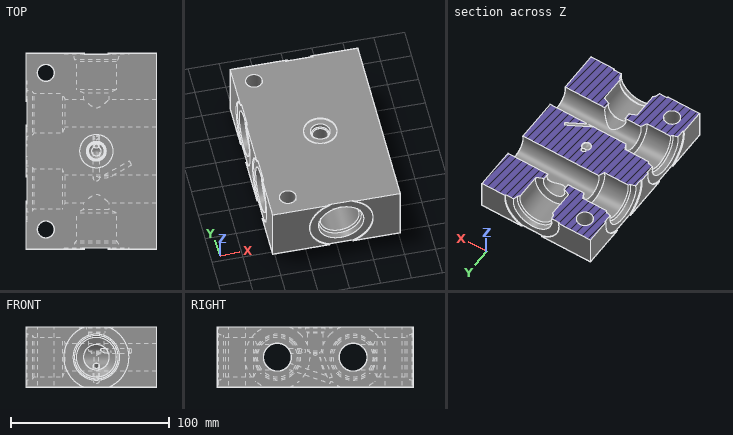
import cadquery as cq
import math

LENGTH_X = 82.6
LENGTH_Y = 123.8
HEIGHT = 38.1
LEFT_X = -LENGTH_X / 2
END_Y = LENGTH_Y / 2
TOP_Z = HEIGHT / 2

SPOTFACE_DEPTH = 0.7
SEAL_HALF_ANGLE = 15
LEAD_IN_HALF_ANGLE = 45
DRILL_HALF_ANGLE = 65

LARGE_PORT = {
    "spotface_diameter": 41.0,
    "seal_diameter": 29.2,
    "seal_depth": 3.3,
    "thread_diameter": 25.1,
    "thread_depth": 22.3,
}
SIDE_PORT_Y = 23.9
SIDE_BORE_DIAMETER = 17.5
END_BORE_DIAMETER = 16.1

SMALL_PORT = {
    "spotface_diameter": 21,
    "seal_diameter": 12.5,
    "seal_depth": 2.4,
    "thread_diameter": 9.9,
    "thread_depth": 14.4,
}
PORT_X = 3.2
TOP_BORE_DIAMETER = 6.0
TOP_BORE_DEPTH = 16.6

MOUNT_DIAMETER = 10.5
MOUNT_EDGE_X = 12.6
MOUNT_Y = 49.4

TOP_PASSAGE_DIAMETER = 3.0
TOP_PASSAGE_START = (PORT_X, 2.4, 5)
TOP_PASSAGE_END = (PORT_X, 9.3, -13.0)
LOW_PASSAGE_DIAMETER = 4.0
LOW_PASSAGE_START = (PORT_X, -21, -4.2)
LOW_PASSAGE_END = (PORT_X, 9.9, -14.7)
SIDE_PASSAGE_DIAMETER = 3.0
SIDE_PASSAGE_START = (3.7, -19.2, 4.0)
SIDE_PASSAGE_END = (24.8, -7.4, 4.0)


def cone_height(large_radius, small_radius, half_angle):
    return (large_radius - small_radius) / math.tan(math.radians(half_angle))


def port_cutter(port, bore_diameter, bore_depth, pointed=False):
    """Stepped port along -Z from the origin; a pointed bore ends in a drill cone."""
    spotface_radius = port["spotface_diameter"] / 2
    seal_radius = port["seal_diameter"] / 2
    thread_radius = port["thread_diameter"] / 2
    bore_radius = bore_diameter / 2

    seal_end = SPOTFACE_DEPTH + port["seal_depth"]
    seal_end_radius = seal_radius - port["seal_depth"] * math.tan(math.radians(SEAL_HALF_ANGLE))
    lead_in_end = seal_end + cone_height(seal_end_radius, thread_radius, LEAD_IN_HALF_ANGLE)
    thread_end = SPOTFACE_DEPTH + port["thread_depth"]
    cone_end = thread_end + cone_height(thread_radius, bore_radius, DRILL_HALF_ANGLE)
    tip = bore_depth + (cone_height(bore_radius, 0, DRILL_HALF_ANGLE) if pointed else 0)

    profile = (
        cq.Workplane("XZ")
        .moveTo(0, 0)
        .lineTo(spotface_radius, 0)
        .lineTo(spotface_radius, -SPOTFACE_DEPTH)
        .lineTo(seal_radius, -SPOTFACE_DEPTH)
        .lineTo(seal_end_radius, -seal_end)
        .lineTo(thread_radius, -lead_in_end)
        .lineTo(thread_radius, -thread_end)
        .lineTo(bore_radius, -cone_end)
        .lineTo(bore_radius, -bore_depth)
        .lineTo(0, -tip)
        .close()
    )
    return profile.revolve(360, (0, 0, 0), (0, 1, 0))


def passage_cutter(diameter, start, end):
    axis = cq.Vector(*end) - cq.Vector(*start)
    return cq.Workplane(cq.Solid.makeCylinder(diameter / 2, axis.Length, cq.Vector(*start), axis))


block = cq.Workplane("XY").box(LENGTH_X, LENGTH_Y, HEIGHT)

mount_x = LEFT_X + MOUNT_EDGE_X
block = block.cut(
    cq.Workplane("XY", origin=(0, 0, -TOP_Z))
    .pushPoints([(mount_x, -MOUNT_Y), (mount_x, MOUNT_Y)])
    .circle(MOUNT_DIAMETER / 2)
    .extrude(HEIGHT)
)

side_port = port_cutter(LARGE_PORT, SIDE_BORE_DIAMETER, LENGTH_X).rotate((0, 0, 0), (0, 1, 0), -90)
for y in (-SIDE_PORT_Y, SIDE_PORT_Y):
    block = block.cut(side_port.translate((LEFT_X, y, 0)))

end_port = port_cutter(LARGE_PORT, END_BORE_DIAMETER, END_Y - SIDE_PORT_Y)
front_port = end_port.rotate((0, 0, 0), (1, 0, 0), 90).translate((PORT_X, -END_Y, 0))
block = block.cut(front_port).cut(front_port.mirror("XZ"))

top_port = port_cutter(SMALL_PORT, TOP_BORE_DIAMETER, TOP_BORE_DEPTH, pointed=True)
block = block.cut(top_port.translate((PORT_X, 0, TOP_Z)))

block = block.cut(passage_cutter(TOP_PASSAGE_DIAMETER, TOP_PASSAGE_START, TOP_PASSAGE_END))
block = block.cut(passage_cutter(LOW_PASSAGE_DIAMETER, LOW_PASSAGE_START, LOW_PASSAGE_END))
block = block.cut(passage_cutter(SIDE_PASSAGE_DIAMETER, SIDE_PASSAGE_START, SIDE_PASSAGE_END))

result = block